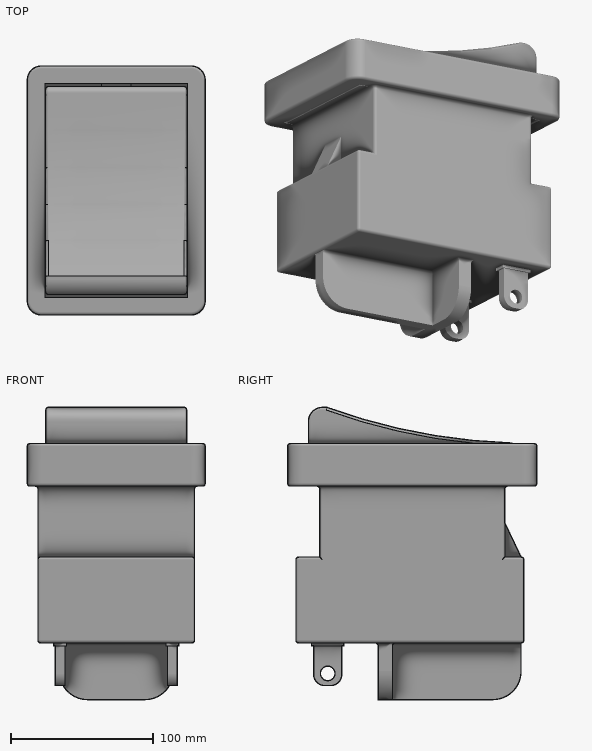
import cadquery as cq
import math

edge_round = 2.0

bezel_width = 125.0
bezel_length = 175.0
bezel_height = 30.0
bezel_corner = 10.0

pocket_width = 100.0
pocket_length = 150.0
pocket_depth = bezel_height

body_width = 110.0
neck_length = 130.0
shoulder_z = -79.7
base_z = -140.0
base_back = 78.5
base_front = -81.7

latch_width = 20.5
latch_height = 24.0
latch_reach = base_back - edge_round - neck_length / 2

barrier_depth = 39.8
barrier_bottom = base_z - barrier_depth
barrier_corner = 20.0
plate_width = 80.1
plate_front = -24.0
wall_thickness = 10.0
plate_back = plate_front + wall_thickness
fin_back = base_back - edge_round

rocker_width = 99.0
rocker_length = 146.0
rocker_crest = 25.5
rocker_low = 0.5
crest_flat_back = -60.0
crest_round = 10.0
back_round = 5.0
top_sagitta = 5.5

terminal_x = 39.5
terminal_y = -59.4
blade_thickness = 7.0
blade_width = 20.0
blade_bottom = -170.0
blade_corner = 8.0
foot_height = 2.0
foot_side_rim = 1.0
foot_end_rim = 1.5
hole_diameter = 10.0
hole_z = -161.5


def box(width, y_front, y_back, z_bottom, z_top):
    """Block centred on X = 0 between the given Y and Z limits."""
    return cq.Workplane("XY").box(width, y_back - y_front, z_top - z_bottom).translate(
        (0, (y_front + y_back) / 2, (z_bottom + z_top) / 2)
    )


def slab(width, y_front, y_back, z):
    """Selector for the edges centred in a thin level slab at height z."""
    margin = 0.2
    return cq.selectors.BoxSelector(
        (-width / 2 - margin, y_front - margin, z - margin),
        (width / 2 + margin, y_back + margin, z + margin),
    )


def extrude_across(sketch, width):
    """Extrude a YZ outline symmetrically along X."""
    return sketch.close().extrude(width / 2, both=True)


def make_bezel():
    bezel = box(bezel_width, -bezel_length / 2, bezel_length / 2, -bezel_height, 0)
    bezel = bezel.edges("|Z").fillet(bezel_corner)
    return bezel.faces("<Z or >Z").edges().fillet(edge_round)


def make_body():
    half_neck = neck_length / 2
    outline = (
        cq.Workplane("YZ")
        .moveTo(-half_neck, -bezel_height)
        .lineTo(-half_neck, shoulder_z)
        .lineTo(base_front, shoulder_z)
        .lineTo(base_front, base_z)
        .lineTo(base_back, base_z)
        .lineTo(base_back, shoulder_z)
        .lineTo(half_neck, shoulder_z)
        .lineTo(half_neck, -bezel_height)
    )
    body = extrude_across(outline, body_width)
    inner_corners = slab(body_width, -half_neck, half_neck, shoulder_z)
    return body.edges(cq.selectors.StringSyntaxSelector("not(>Z)") - inner_corners).fillet(edge_round)


def make_latch():
    half_neck = neck_length / 2
    outline = (
        cq.Workplane("YZ")
        .moveTo(half_neck, shoulder_z)
        .lineTo(half_neck + latch_reach, shoulder_z)
        .lineTo(half_neck, shoulder_z + latch_height)
    )
    return extrude_across(outline, latch_width)


def make_barrier():
    plate = box(plate_width, plate_front, plate_back, barrier_bottom, base_z)
    plate = plate.edges("|Y and <Z").fillet(barrier_corner)
    fin = box(wall_thickness, plate_back, fin_back, barrier_bottom, base_z)
    fin = fin.edges("|X and <Z and >Y").fillet(barrier_corner)
    return plate.union(fin)


def make_housing():
    housing = make_bezel().union(make_body())
    neck_root = slab(body_width, -neck_length / 2, neck_length / 2, -bezel_height)
    housing = housing.edges(neck_root).fillet(edge_round)
    housing = housing.union(make_latch()).union(make_barrier())
    barrier_root = slab(plate_width, plate_front, fin_back - wall_thickness, base_z)
    housing = housing.edges(barrier_root).fillet(edge_round)
    half_pocket = pocket_length / 2
    return housing.cut(box(pocket_width, -half_pocket, half_pocket, -pocket_depth, 0))


def make_rocker():
    half_length = rocker_length / 2
    run = half_length - crest_flat_back
    rise = rocker_crest - rocker_low
    chord = math.hypot(run, rise)
    middle = (
        (half_length + crest_flat_back) / 2 - top_sagitta * rise / chord,
        (rocker_low + rocker_crest) / 2 - top_sagitta * run / chord,
    )
    outline = (
        cq.Workplane("YZ")
        .moveTo(half_length, -pocket_depth)
        .lineTo(half_length, rocker_low)
        .threePointArc(middle, (crest_flat_back, rocker_crest))
        .lineTo(-half_length, rocker_crest)
        .lineTo(-half_length, -pocket_depth)
    )
    rocker = extrude_across(outline, rocker_width)
    rocker = rocker.edges(slab(rocker_width, -half_length, -half_length, rocker_crest)).fillet(crest_round)
    rocker = rocker.edges(slab(rocker_width, half_length, half_length, rocker_low)).fillet(back_round)
    sides = cq.selectors.StringSyntaxSelector("<X or >X")
    return rocker.faces(sides).edges("not(<Z)").fillet(edge_round)


def make_terminal(x):
    y_front = terminal_y - blade_width / 2
    y_back = terminal_y + blade_width / 2
    blade = box(blade_thickness, y_front, y_back, blade_bottom, base_z)
    blade = blade.edges("|X and <Z").fillet(blade_corner)
    hole = (
        cq.Workplane("YZ")
        .center(terminal_y, hole_z)
        .circle(hole_diameter / 2)
        .extrude(blade_thickness, both=True)
    )
    foot_thickness = blade_thickness + 2 * foot_side_rim
    foot = box(foot_thickness, y_front - foot_end_rim, y_back + foot_end_rim, base_z - foot_height, base_z)
    return blade.cut(hole).union(foot).translate((x, 0, 0))


housing = make_housing()
rocker = make_rocker()
terminals = [make_terminal(x) for x in (-terminal_x, terminal_x)]

result = cq.Compound.makeCompound([housing.val(), rocker.val(), *[t.val() for t in terminals]])